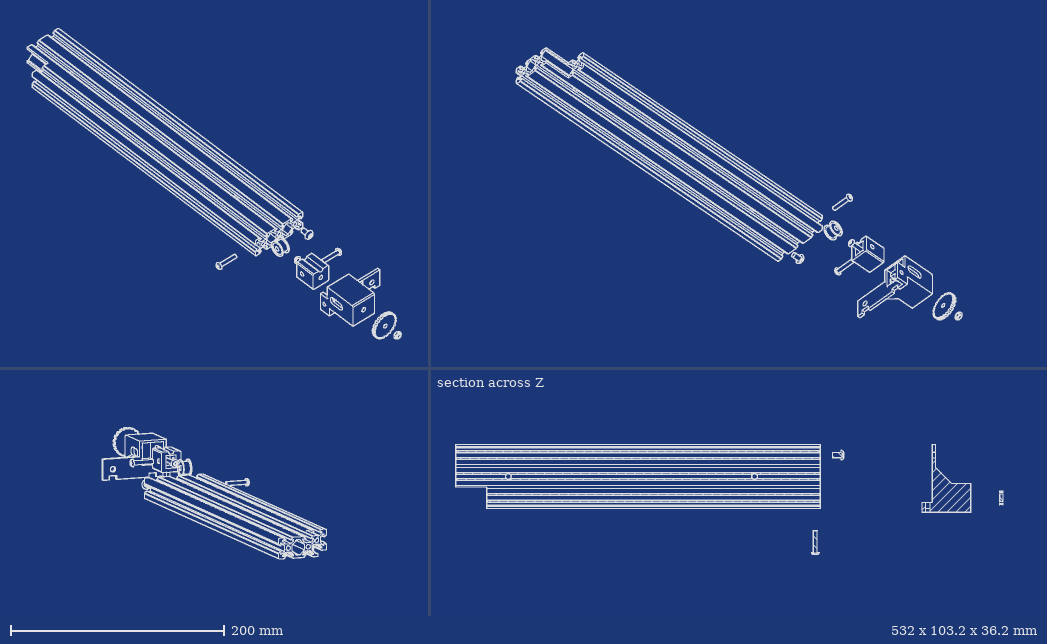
import cadquery as cq
rail_length = 342.0
rail_width = 60.0
cell_count = 3
cell = rail_width / cell_count
rail_mid_z = cell / 2
rail_corner_radius = 1.5
notch_length = 29.0
bore_diameter = 4.2
access_hole_diameter = 5.2
access_hole_places = (49.5, 280.5)

slot_mouth_half = 4.9
slot_mouth_break = 0.65
slot_mouth_break_depth = 0.25
slot_neck_half = 2.45
slot_chamber_half = 5.5
slot_lip = 2.4
core_half = 3.9
floor_flat_half = 1.5
floor_half = 2.8
floor_rise = 0.25

hollow_wall = 2.5
hollow_side_half = 2.5

axis_y = cell / 2
axis_z = 22.5

wheel_x = 366.0
wheel_diameter = 16.0
wheel_core_diameter = 12.0
wheel_width = 8.5
wheel_flange = 0.8
clearance_diameter = 4.5

screw_diameter = 4.0
screw_length = 20.0
screw_head_diameter = 7.5
screw_head_flat = 4.0
screw_head_height = 2.2
screw_socket = 2.85
tension_screw_seat_x = 390.5
wheel_screw_seat_y = 46.0
rail_screw_x = 337.0
rail_screw_seat_y = -41.0

end_screw_diameter = 5.0
end_screw_length = 8.0
end_screw_head_diameter = 9.5
end_screw_head_flat = 5.5
end_screw_head_height = 2.75
end_screw_socket = 3.25
end_screw_seat_x = 361.0

dome_height_share = 0.6
dome_bulge = 0.3
socket_depth_share = 0.6

block_x = 400.0
block_length = 23.0
block_height = 19.5
block_chamfer = 1.0
block_groove_diameter = 5.2
pocket_length = 15.5
pocket_width = 10.0
pocket_height = 12.0
block_pin_x = 407.5

plate_x = 446.5
plate_thickness = 3.0
plate_hole_diameter = 5.2
plate_relief_width = 7.5
plate_relief_height = 3.5
box_end_x = 483.0
box_width = 27.0
box_height = 25.5
box_cavity = 21.5
box_end_wall = 3.0
box_end_chamfer = 1.35
window_x = 459.5
window_length = 17.0
window_height = 8.0
ear_x = 437.0
ear_hole_x = 442.5
ear_hole_diameter = 4.0
tongue_depth = 6.0
tongue_height = 5.0
gusset_leg = 15.0
gusset_top_z = 19.0

knob_x = 510.0
knob_diameter = 27.5
knob_thickness = 3.0
knob_notch_count = 20
knob_notch_width = 2.0
knob_notch_depth = 1.0
nut_thickness = 3.0
nut_end_x = 532.0
nut_across_corners = 8.0
nut_chamfer = 0.75


def x_cylinder(diameter, length, x, y, z):
    """Cylinder starting at the given point and running toward +X."""
    return cq.Workplane("YZ", origin=(x, y, z)).circle(diameter / 2).extrude(length)


def y_cylinder(diameter, length, x, y, z):
    """Cylinder starting at the given point and running toward +Y."""
    return cq.Workplane("XZ", origin=(x, y, z)).circle(diameter / 2).extrude(-length)


def box_at(x, y, z, length, width, height):
    """Box with its lowest corner at the given point."""
    return cq.Workplane("XY", origin=(x, y, z)).box(length, width, height, centered=False)


def slot_cutter(y, angle):
    """V-slot running along X that opens to +Z, turned by the angle about the centre line of a cell."""
    face = cell / 2
    flank_half = slot_mouth_half - slot_mouth_break
    slope_depth = slot_mouth_break_depth + flank_half - slot_neck_half
    floor_side = core_half + floor_rise
    half = [
        (slot_mouth_half, face),
        (flank_half, face - slot_mouth_break_depth),
        (slot_neck_half, face - slope_depth),
        (slot_neck_half, face - slot_lip),
        (slot_chamber_half, face - slot_lip),
        (slot_chamber_half, floor_side + slot_chamber_half - floor_half),
        (floor_half, floor_side),
        (floor_flat_half, core_half),
    ]
    outline = half + [(-across, out) for across, out in reversed(half)]
    cutter = cq.Workplane("YZ").polyline(outline).close().extrude(rail_length)
    return cutter.rotate((0, 0, 0), (1, 0, 0), angle).translate((0, y, rail_mid_z))


def hollow_cutter(y):
    """Eight-sided hollow between two cells, with 45-degree flanks."""
    side = cell / 2 - core_half
    top = cell / 2 - hollow_wall
    top_half = side - (top - hollow_side_half)
    upper = [(side, hollow_side_half), (top_half, top), (-top_half, top), (-side, hollow_side_half)]
    outline = upper + [(-across, -up) for across, up in upper]
    return cq.Workplane("YZ", origin=(0, y, rail_mid_z)).polyline(outline).close().extrude(rail_length)


def make_rail():
    rail = box_at(0, 0, 0, rail_length, rail_width, cell)
    rail = rail.edges("|X").fillet(rail_corner_radius)
    for i in range(cell_count):
        cell_y = cell * (i + 0.5)
        rail = rail.cut(slot_cutter(cell_y, 0)).cut(slot_cutter(cell_y, 180))
        rail = rail.cut(x_cylinder(bore_diameter, rail_length, 0, cell_y, rail_mid_z))
    rail = rail.cut(slot_cutter(cell / 2, 90))
    rail = rail.cut(slot_cutter(rail_width - cell / 2, -90))
    for i in range(1, cell_count):
        rail = rail.cut(hollow_cutter(cell * i))
    rail = rail.cut(box_at(0, 0, 0, notch_length, cell, cell))
    access_holes = (
        cq.Workplane("XY")
        .pushPoints([(x, rail_width / 2) for x in access_hole_places])
        .circle(access_hole_diameter / 2)
        .extrude(cell)
    )
    return rail.cut(access_holes)


def make_button_screw(diameter, length, head_diameter, head_flat, head_height, socket):
    """Screw along X: head seat at X = 0, shaft toward +X, domed head toward -X with a hex socket."""
    dome_point = (-head_height * dome_height_share, (head_flat + head_diameter) / 4 + dome_bulge)
    profile = (
        cq.Workplane("XY")
        .moveTo(-head_height, 0)
        .lineTo(-head_height, head_flat / 2)
        .threePointArc(dome_point, (0, head_diameter / 2))
        .lineTo(0, diameter / 2)
        .lineTo(length, diameter / 2)
        .lineTo(length, 0)
        .close()
    )
    screw = profile.revolve(360, (0, 0, 0), (1, 0, 0))
    socket_depth = head_height * socket_depth_share
    hexagon = cq.Workplane("YZ", origin=(-head_height, 0, 0)).polygon(6, socket).extrude(socket_depth)
    return screw.cut(hexagon)


def make_screw(seat, turn):
    """Thin screw with its head seat at the given point, turned by the angle about Z."""
    screw = make_button_screw(
        screw_diameter, screw_length, screw_head_diameter, screw_head_flat, screw_head_height, screw_socket
    )
    return screw.rotate((0, 0, 0), (0, 0, 1), turn).translate(seat)


def make_end_screw():
    """Thick screw facing the +X end of the rail, in line with the bore of the +Y cell."""
    screw = make_button_screw(
        end_screw_diameter,
        end_screw_length,
        end_screw_head_diameter,
        end_screw_head_flat,
        end_screw_head_height,
        end_screw_socket,
    )
    seat = (end_screw_seat_x, rail_width - cell / 2, rail_mid_z)
    return screw.rotate((0, 0, 0), (0, 0, 1), 180).translate(seat)


def make_wheel():
    """Flanged idler with its axis along Y."""
    start_y = axis_y - wheel_width / 2
    core = y_cylinder(wheel_core_diameter, wheel_width, wheel_x, start_y, axis_z)
    near_flange = y_cylinder(wheel_diameter, wheel_flange, wheel_x, start_y, axis_z)
    far_flange = near_flange.translate((0, wheel_width - wheel_flange, 0))
    bore = y_cylinder(clearance_diameter, wheel_width, wheel_x, start_y, axis_z)
    return core.union(near_flange).union(far_flange).cut(bore)


def make_block():
    """Slider with a pocket for the wheel, a cross hole for its screw and a groove along the top."""
    block = box_at(block_x, axis_y - cell / 2, axis_z - block_height / 2, block_length, cell, block_height)
    block = block.edges("|X").chamfer(block_chamfer)
    pocket = box_at(
        block_x,
        axis_y - pocket_width / 2,
        axis_z - pocket_height / 2,
        pocket_length,
        pocket_width,
        pocket_height,
    )
    groove = x_cylinder(block_groove_diameter, block_length, block_x, axis_y, axis_z + block_height / 2)
    cross_hole = y_cylinder(clearance_diameter, cell, block_pin_x, axis_y - cell / 2, axis_z)
    screw_hole = x_cylinder(clearance_diameter, block_length, block_x, axis_y, axis_z)
    return block.cut(pocket).cut(groove).cut(cross_hole).cut(screw_hole)


def make_bracket():
    near_y = axis_y - box_width / 2
    far_y = axis_y + box_width / 2
    floor_z = axis_z - box_height / 2
    plate_back_x = plate_x + plate_thickness

    box = box_at(plate_x, near_y, floor_z, box_end_x - plate_x, box_width, box_height)
    box = box.edges(">X and >Z").chamfer(box_end_chamfer)
    plate = box_at(plate_x, near_y, 0, plate_thickness, rail_width - near_y, cell)
    relief_span = plate_relief_width / 2
    for slot_y in (cell / 2, rail_width - cell / 2):
        plate = plate.cut(
            box_at(plate_x, slot_y - relief_span, 0, plate_thickness, plate_relief_width, plate_relief_height)
        )
    plate = plate.cut(
        x_cylinder(plate_hole_diameter, plate_thickness, plate_x, rail_width - cell / 2, rail_mid_z)
    )
    ear = box_at(ear_x, near_y, 0, plate_back_x - ear_x, -near_y, cell)
    tongue_z = rail_mid_z - tongue_height / 2
    tongue = box_at(ear_x, 0, tongue_z, plate_x - ear_x, tongue_depth, tongue_height)
    bracket = box.union(plate).union(ear).union(tongue)

    cavity_length = box_end_x - box_end_wall - plate_x
    cavity = box_at(
        plate_x, axis_y - box_cavity / 2, axis_z - box_cavity / 2, cavity_length, box_cavity, box_cavity
    )
    windows = (
        cq.Workplane("XZ", origin=(window_x, near_y, axis_z))
        .slot2D(window_length, window_height)
        .extrude(-box_width)
    )
    ear_hole = y_cylinder(ear_hole_diameter, tongue_depth - near_y, ear_hole_x, near_y, rail_mid_z)
    screw_hole = x_cylinder(clearance_diameter, box_end_x - plate_x, plate_x, axis_y, axis_z)
    bracket = bracket.cut(cavity).cut(windows).cut(ear_hole).cut(screw_hole)

    gusset = (
        cq.Workplane("XY", origin=(plate_back_x, far_y, floor_z))
        .polyline([(0, 0), (gusset_leg, 0), (0, gusset_leg)])
        .close()
        .extrude(gusset_top_z - floor_z)
    )
    return bracket.union(gusset)


def make_knob():
    """Disk with evenly spaced finger notches round its rim."""
    knob = x_cylinder(knob_diameter, knob_thickness, knob_x, axis_y, axis_z)
    notch = box_at(
        knob_x,
        knob_diameter / 2 - knob_notch_depth,
        -knob_notch_width / 2,
        knob_thickness,
        knob_diameter,
        knob_notch_width,
    )
    for i in range(knob_notch_count):
        turned_notch = notch.rotate((0, 0, 0), (1, 0, 0), 360 * i / knob_notch_count)
        knob = knob.cut(turned_notch.translate((0, axis_y, axis_z)))
    return knob.cut(x_cylinder(screw_diameter, knob_thickness, knob_x, axis_y, axis_z))


def make_nut():
    """Hex nut with two corners on Z and its corners chamfered on both faces."""
    start_x = nut_end_x - nut_thickness
    nut = cq.Workplane("YZ").polygon(6, nut_across_corners).extrude(nut_thickness)
    nut = nut.rotate((0, 0, 0), (1, 0, 0), 90).translate((start_x, axis_y, axis_z))
    turned = x_cylinder(nut_across_corners, nut_thickness, start_x, axis_y, axis_z)
    turned = turned.edges().chamfer(nut_chamfer)
    return nut.intersect(turned).cut(x_cylinder(screw_diameter, nut_thickness, start_x, axis_y, axis_z))


rail = make_rail()
end_screw = make_end_screw()
wheel = make_wheel()
block = make_block()
bracket = make_bracket()
knob = make_knob()
nut = make_nut()

screw_places = [
    ((tension_screw_seat_x, axis_y, axis_z), 0),
    ((block_pin_x, wheel_screw_seat_y, axis_z), -90),
    ((rail_screw_x, rail_screw_seat_y, rail_mid_z), 90),
]
screws = [make_screw(seat, turn) for seat, turn in screw_places]

bodies = [rail, end_screw, wheel, block, bracket, knob, nut, *screws]
result = cq.Compound.makeCompound([body.val() for body in bodies])